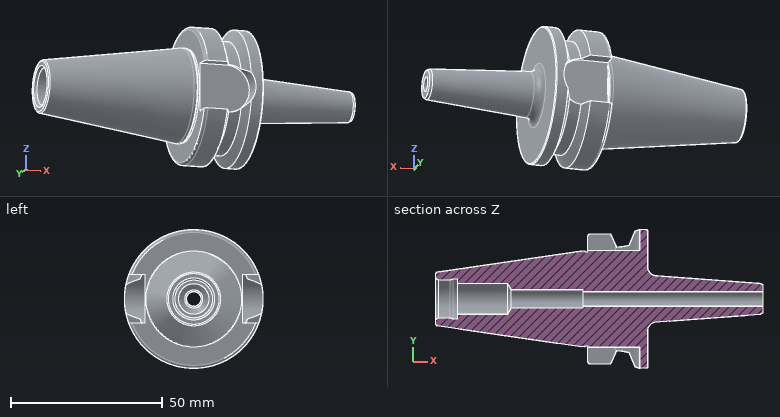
import cadquery as cq
import math

overall_length = 108.4

taper_ratio = 7 / 24
taper_length = 48.3
gauge_radius = 15.88
rear_radius = gauge_radius - taper_length * taper_ratio / 2
rear_edge_chamfer = 0.4

land_end = 49.4
relief_start = 49.8
relief_radius = 15.6

flange_start = 50.3
flange_end = 70.2
flange_radius = 23.0
flange_edge_radius = 1.0
front_edge_chamfer = 0.3
groove_floor_radius = 19.0
groove_floor_start = 59.9
groove_floor_end = 64.1
groove_side_run = 2.0

slot_half_width = 8.0
slot_center_x = 59.5
slot_floor_y = 16.0

root_fillet = 3.0
neck_start = flange_end + root_fillet
neck_radius = 7.7
tip_radius = 5.1
tip_chamfer = 0.9

entry_radius = 6.9
pilot_radius = 12.5 / 2
undercut_radius = 13.1 / 2
thread_radius = 10.1 / 2
drill_radius = 6.0 / 2
through_radius = 4.8 / 2
entry_depth = 1.0
pilot_depth = 4.8
undercut_start = 5.9
undercut_end = 7.3
thread_depth = 23.8
drill_depth = 48.8
drill_point_angle = math.radians(118)


def turned_body():
    corner = flange_edge_radius * (1 - math.sqrt(0.5))
    tip_slope = (neck_radius - tip_radius) / (overall_length - neck_start)
    chamfer_start_radius = tip_radius + tip_slope * tip_chamfer
    profile = (
        cq.Workplane("XY")
        .lineTo(0, rear_radius - rear_edge_chamfer)
        .lineTo(rear_edge_chamfer, rear_radius + rear_edge_chamfer * taper_ratio / 2)
        .lineTo(taper_length, gauge_radius)
        .lineTo(land_end, gauge_radius)
        .lineTo(relief_start, relief_radius)
        .lineTo(flange_start, relief_radius)
        .lineTo(flange_start, flange_radius - flange_edge_radius)
        .threePointArc(
            (flange_start + corner, flange_radius - corner),
            (flange_start + flange_edge_radius, flange_radius),
        )
        .lineTo(groove_floor_start - groove_side_run, flange_radius)
        .lineTo(groove_floor_start, groove_floor_radius)
        .lineTo(groove_floor_end, groove_floor_radius)
        .lineTo(groove_floor_end + groove_side_run, flange_radius)
        .lineTo(flange_end - front_edge_chamfer, flange_radius)
        .lineTo(flange_end, flange_radius - front_edge_chamfer)
        .lineTo(flange_end, neck_radius + root_fillet)
        .threePointArc(
            (
                neck_start - root_fillet * math.sqrt(0.5),
                neck_radius + root_fillet * (1 - math.sqrt(0.5)),
            ),
            (neck_start, neck_radius),
        )
        .lineTo(overall_length - tip_chamfer, chamfer_start_radius)
        .lineTo(overall_length, tip_radius - tip_chamfer / 2)
        .lineTo(overall_length, 0)
        .close()
    )
    return profile.revolve(360, (0, 0, 0), (1, 0, 0))


def stepped_bore():
    drill_cone_length = (thread_radius - drill_radius) / math.tan(drill_point_angle / 2)
    profile = (
        cq.Workplane("XY")
        .lineTo(0, entry_radius)
        .lineTo(entry_depth, pilot_radius)
        .lineTo(pilot_depth, pilot_radius)
        .lineTo(undercut_start, undercut_radius)
        .lineTo(undercut_end, undercut_radius)
        .lineTo(undercut_end, thread_radius)
        .lineTo(thread_depth, thread_radius)
        .lineTo(thread_depth + drill_cone_length, drill_radius)
        .lineTo(drill_depth, drill_radius)
        .lineTo(drill_depth, through_radius)
        .lineTo(overall_length, through_radius)
        .lineTo(overall_length, 0)
        .close()
    )
    return profile.revolve(360, (0, 0, 0), (1, 0, 0))


def drive_slot(side):
    depth = side * (flange_radius - slot_floor_y)
    floor = cq.Workplane("XZ", origin=(0, side * slot_floor_y, 0))
    outline = (
        floor.moveTo(flange_start, -slot_half_width)
        .lineTo(slot_center_x, -slot_half_width)
        .threePointArc((slot_center_x + slot_half_width, 0), (slot_center_x, slot_half_width))
        .lineTo(flange_start, slot_half_width)
        .close()
    )
    return outline.extrude(-depth)


result = turned_body().cut(stepped_bore())
for side in (-1, 1):
    result = result.cut(drive_slot(side))